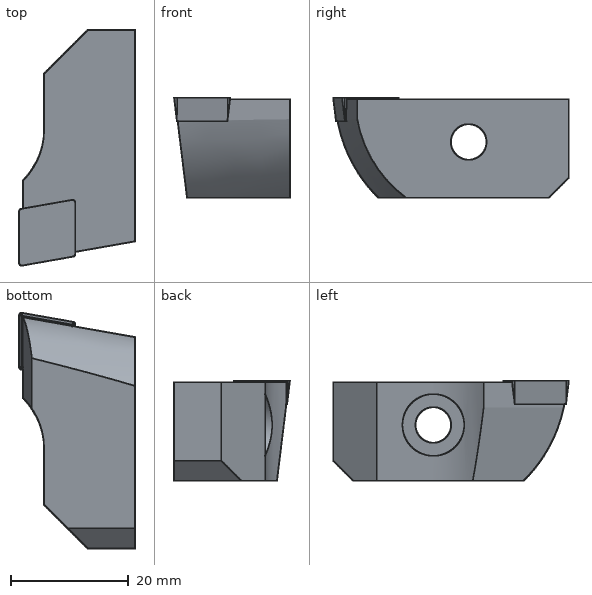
import cadquery as cq
import math

RIGHT_X = 19.7
BACK_Y = 40.0
HOLDER_TOP = 16.75
INSERT_TOP = 17.0

FLANK_X = 0.7
SHANK_X = 4.25
BACK_CHAMFER = 7.45
BOTTOM_CHAMFER = 3.45
BLEND_RADIUS = 12.0
BLEND_ANGLE = math.radians(43)
LEAD_ANGLE = 10.0
LEAD_SLOPE = math.tan(math.radians(LEAD_ANGLE))
FRONT_Y = 0.65

RELIEF_ANGLE = 7.0
RELIEF_SLOPE = math.tan(math.radians(RELIEF_ANGLE))
FLANK_RELIEF_Z = 12.4
CONE_Y = 24.9
CONE_RADIUS = 24.55

SCREW_Y = 23.0
SCREW_Z = 9.5
SCREW_DIAMETER = 6.0
HEAD_DIAMETER = 10.5
HEAD_DEPTH = 4.9

INSERT_WIDTH = 9.55
INSERT_LENGTH = 9.7
INSERT_HEIGHT = 4.0

CUT_MARGIN = 2.0


def holder_block():
    """Plan outline raised to the holder top."""
    blend_center_x = SHANK_X - BLEND_RADIUS

    def blend_point(angle):
        return (
            blend_center_x + BLEND_RADIUS * math.cos(angle),
            SCREW_Y - BLEND_RADIUS * math.sin(angle),
        )

    blend_end = blend_point(BLEND_ANGLE)
    flank_start_y = blend_end[1] - (blend_end[0] - FLANK_X) / math.tan(BLEND_ANGLE)
    return (
        cq.Workplane("XY")
        .moveTo(FLANK_X, FRONT_Y + LEAD_SLOPE * FLANK_X)
        .lineTo(RIGHT_X, FRONT_Y + LEAD_SLOPE * RIGHT_X)
        .lineTo(RIGHT_X, BACK_Y)
        .lineTo(SHANK_X + BACK_CHAMFER, BACK_Y)
        .lineTo(SHANK_X, BACK_Y - BACK_CHAMFER)
        .lineTo(SHANK_X, SCREW_Y)
        .threePointArc(blend_point(BLEND_ANGLE / 2), blend_end)
        .lineTo(FLANK_X, flank_start_y)
        .close()
        .extrude(HOLDER_TOP)
    )


def front_clearance():
    """Cone about an X-parallel axis that limits the front of the holder."""
    end_x = RIGHT_X + CUT_MARGIN
    return (
        cq.Workplane("XY")
        .polyline([
            (0, CONE_Y),
            (0, CONE_Y - CONE_RADIUS),
            (end_x, CONE_Y - CONE_RADIUS + LEAD_SLOPE * end_x),
            (end_x, CONE_Y),
        ])
        .close()
        .revolve(360, (0, CONE_Y, 0), (1, CONE_Y, 0))
        .translate((0, 0, INSERT_TOP))
    )


def behind_cone_axis():
    """Region behind the cone axis, which the front clearance leaves alone."""
    return (
        cq.Workplane("XY", origin=(0, CONE_Y, 0))
        .box(RIGHT_X, BACK_Y - CONE_Y, HOLDER_TOP, centered=False)
    )


def flank_relief():
    """Wedge removed from the lower part of the side wall."""
    inset = RELIEF_SLOPE * FLANK_RELIEF_Z
    return (
        cq.Workplane("XZ")
        .polyline([(FLANK_X, FLANK_RELIEF_Z), (FLANK_X + inset, 0), (FLANK_X, 0)])
        .close()
        .extrude(-BACK_Y)
    )


def bottom_back_chamfer():
    """Wedge removed from the lower back edge."""
    return (
        cq.Workplane("YZ")
        .polyline([(BACK_Y - BOTTOM_CHAMFER, 0), (BACK_Y, 0), (BACK_Y, BOTTOM_CHAMFER)])
        .close()
        .extrude(RIGHT_X)
    )


def screw_hole():
    """Through hole with a counterbore from the shank side."""
    def bore(diameter, end_x):
        return cq.Workplane("YZ").center(SCREW_Y, SCREW_Z).circle(diameter / 2).extrude(end_x)

    return bore(SCREW_DIAMETER, RIGHT_X + CUT_MARGIN).union(bore(HEAD_DIAMETER, SHANK_X + HEAD_DEPTH))


def make_insert():
    """Rhombic insert that flares upward from a sharp-cornered base to rounded top corners."""
    flare = RELIEF_SLOPE * INSERT_HEIGHT
    slant = 1 / math.cos(math.radians(LEAD_ANGLE))
    tip_y = flare
    base_left = flare
    base_right = INSERT_WIDTH - flare
    base_length = INSERT_LENGTH - 2 * flare * slant
    rise = LEAD_SLOPE * (base_right - base_left)
    return (
        cq.Workplane("XY", origin=(0, 0, INSERT_TOP - INSERT_HEIGHT))
        .polyline([
            (base_left, tip_y),
            (base_right, tip_y + rise),
            (base_right, tip_y + rise + base_length),
            (base_left, tip_y + base_length),
        ])
        .close()
        .extrude(INSERT_HEIGHT, taper=-RELIEF_ANGLE)
    )


def make_holder(insert):
    """Holder with its clearances, screw hole and a pocket matching the insert."""
    return (
        holder_block()
        .intersect(front_clearance().union(behind_cone_axis()))
        .cut(flank_relief())
        .cut(bottom_back_chamfer())
        .cut(screw_hole())
        .cut(insert)
    )


insert = make_insert()
holder = make_holder(insert)

result = cq.Compound.makeCompound([holder.val(), insert.val()])